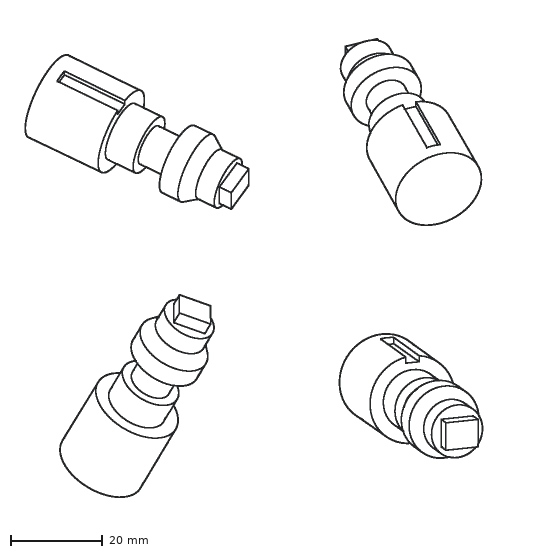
import cadquery as cq

total_length = 48.7

head_length = 18.5
head_diameter = 20.0
head_end_diameter = 19.85
shoulder_end = 25.55
shoulder_diameter = 13.65
neck_end = 33.03
neck_diameter = 9.3
collar_end = 37.75
collar_diameter = 16.35
cone_end = 40.95
tip_end = 45.7
tip_diameter = 12.0

tang_width = 7.5
tang_height = 6.25

key_start = 3.1
key_width = 3.1
key_depth = 1.55


def make_shaft():
    """Revolve the half profile about the X axis."""
    profile = [
        (0, 0),
        (0, head_diameter / 2),
        (head_length, head_end_diameter / 2),
        (head_length, shoulder_diameter / 2),
        (shoulder_end, shoulder_diameter / 2),
        (shoulder_end, neck_diameter / 2),
        (neck_end, neck_diameter / 2),
        (neck_end, collar_diameter / 2),
        (collar_end, collar_diameter / 2),
        (cone_end, tip_diameter / 2),
        (tip_end, tip_diameter / 2),
        (tip_end, 0),
    ]
    return cq.Workplane("XZ").polyline(profile).close().revolve(360, (0, 0, 0), (1, 0, 0))


def make_tang():
    tang_length = total_length - tip_end
    return cq.Workplane("YZ", origin=(tip_end, 0, 0)).rect(tang_width, tang_height).extrude(tang_length)


def make_keyway():
    """Flat-bottomed cutter reaching from the keyway floor to the head radius."""
    floor_height = head_diameter / 2 - key_depth
    cutter = cq.Workplane("XY").box(
        head_length - key_start, key_width, key_depth, centered=(False, True, False)
    )
    return cutter.translate((key_start, 0, floor_height))


result = make_shaft().union(make_tang()).cut(make_keyway())